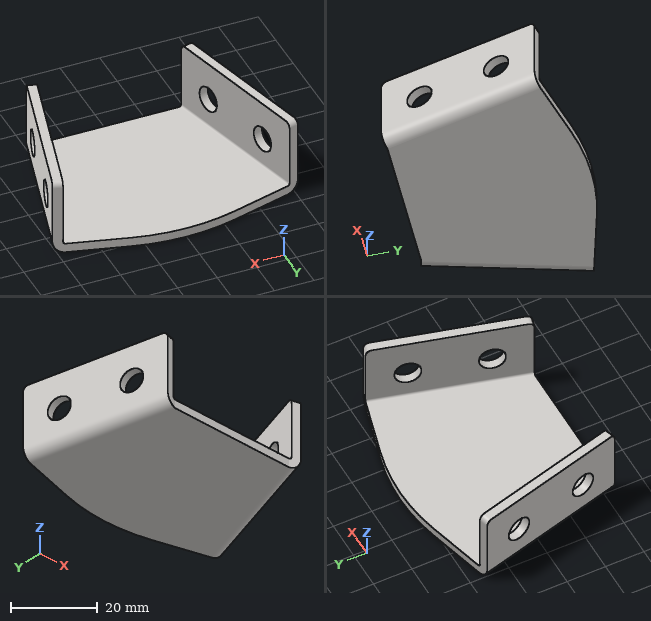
import cadquery as cq
import math

width = 61.95
depth = 45.15
height = 20.0
thickness = 2.5
bend_radius = 3.1
flange_length = 40.0
splay = 15.0
corner_radius = 1.5
hole_diameter = 6.4
hole_height = 10.0
hole_positions = (10.0, 30.0)

splay_rad = math.radians(splay)
sin_splay = math.sin(splay_rad)
cos_splay = math.cos(splay_rad)
inner_radius = bend_radius - thickness
front_corner_x = width / 2 - flange_length * sin_splay
back_corner_y = flange_length * cos_splay


def make_flange():
    """Right flange with its bend, leaning outward toward the back."""
    profile = (
        cq.Workplane("XZ")
        .moveTo(-bend_radius, 0)
        .radiusArc((0, bend_radius), -bend_radius)
        .lineTo(0, height)
        .lineTo(-thickness, height)
        .lineTo(-thickness, bend_radius)
        .radiusArc((-bend_radius, thickness), inner_radius)
        .close()
    )
    flange = profile.extrude(-flange_length)
    flange = flange.edges("|X and >Z").fillet(corner_radius)
    holes = (
        cq.Workplane("YZ")
        .pushPoints([(position, hole_height) for position in hole_positions])
        .circle(hole_diameter / 2)
        .extrude(-thickness)
    )
    flange = flange.cut(holes)
    return flange.rotate((0, 0, 0), (0, 0, 1), -splay).translate((front_corner_x, 0, 0))


def make_plate():
    """Floor between the bends, with an arc blending its two back edges."""
    front_x = front_corner_x - bend_radius * cos_splay
    front_y = bend_radius * sin_splay
    back_x = front_x + flange_length * sin_splay
    back_y = front_y + back_corner_y

    apex_y = back_corner_y + width / 2 * math.tan(splay_rad)
    crown_radius = (apex_y - depth) / (1 / cos_splay - 1)
    tangent_x = crown_radius * sin_splay
    tangent_y = depth - crown_radius * (1 - cos_splay)

    return (
        cq.Workplane("XY")
        .moveTo(-front_x, front_y)
        .lineTo(front_x, front_y)
        .lineTo(back_x, back_y)
        .lineTo(tangent_x, tangent_y)
        .threePointArc((0, depth), (-tangent_x, tangent_y))
        .lineTo(-back_x, back_y)
        .close()
        .extrude(thickness)
    )


right_flange = make_flange()
left_flange = right_flange.mirror("YZ")
result = make_plate().union(right_flange).union(left_flange)